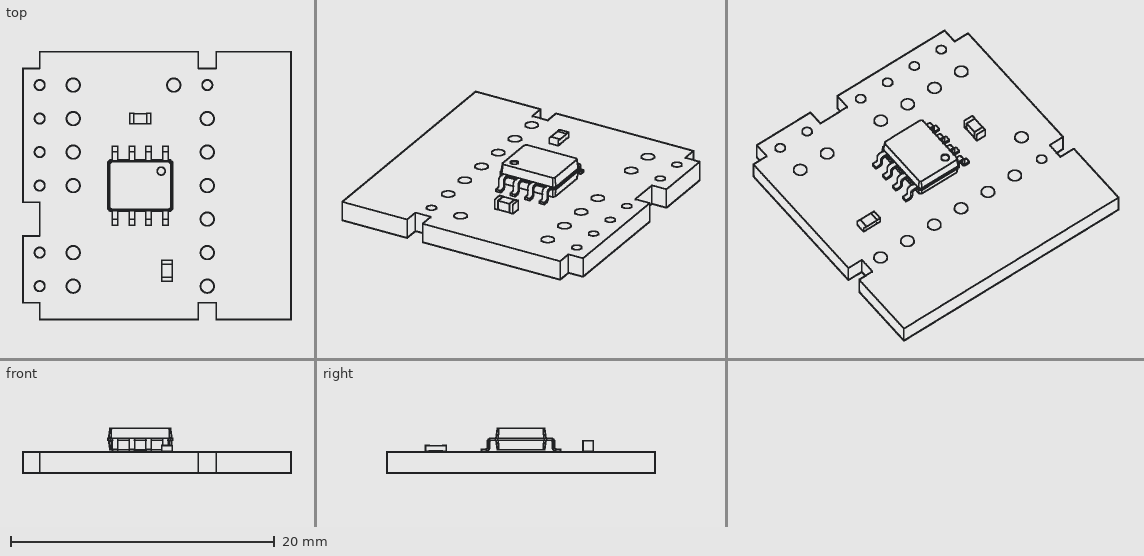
import cadquery as cq

PITCH = 2.54
HALF_PITCH = PITCH / 2
BOARD_SIDE = 8 * PITCH
BOARD_HALF = BOARD_SIDE / 2
BOARD_THICK = 1.6
EDGE_NOTCH_WIDTH = 1.35
SMALL_HOLE_DIA = 0.76
LARGE_HOLE_DIA = 1.0

LEFT_EDGE_COLUMN = -BOARD_HALF + HALF_PITCH
LEFT_INNER_COLUMN = LEFT_EDGE_COLUMN + PITCH
MIDDLE_COLUMN = HALF_PITCH
RIGHT_COLUMN = MIDDLE_COLUMN + PITCH
TOP_ROW = 3 * PITCH
SKIPPED_ROW = -PITCH
ROW_COUNT = 7
ROWS = [TOP_ROW - i * PITCH for i in range(ROW_COUNT)]
LEFT_ROWS = [y for y in ROWS if y != SKIPPED_ROW]

MOUNT_GAP = 0.05
MOUNT_HEIGHT = BOARD_THICK + MOUNT_GAP
PACKAGE_X = -HALF_PITCH
PACKAGE_Y = 0.0
PACKAGE_LENGTH = 4.9
PACKAGE_WIDTH = 3.9
PACKAGE_HEIGHT = 1.75
STANDOFF = 0.1
BAND_LEDGE = 0.05
WALL_DRAFT = 8.0
CORNER_CHAMFER = 0.18
DOT_DIA = 0.6
DOT_DEPTH = 0.1
DOT_OFFSET_X = 1.59
DOT_OFFSET_Y = 1.1

LEAD_COUNT = 4
LEAD_PITCH = 1.27
LEAD_WIDTH = 0.42
LEAD_THICK = 0.17
LEAD_SPAN = 6.0
LEG_SPAN = 5.1
LEAD_TOP = 1.0
LEAD_EMBED = 0.4
BEND_INNER = 0.12
BEND_OUTER = BEND_INNER + LEAD_THICK

CHIP_LENGTH = 1.6
CHIP_WIDTH = 0.8
TERMINAL_LENGTH = 0.3
CORE_INSET = 0.02
TERMINAL_ROUNDING = 0.03

CAPACITOR_X = -HALF_PITCH
CAPACITOR_Y = 2 * PITCH
CAPACITOR_HEIGHT = 0.8

RESISTOR_X = 0.76
RESISTOR_Y = -6.45
RESISTOR_HEIGHT = 0.45


def board_block(length, width, x, y):
    """Block as thick as the board, centred on x and y."""
    block = cq.Workplane("XY").box(length, width, BOARD_THICK, centered=(True, True, False))
    return block.translate((x, y, 0))


def make_board():
    """Square board with edge cut-outs and two sizes of through holes."""
    board = board_block(BOARD_SIDE, BOARD_SIDE, 0, 0)

    for edge_y in (-BOARD_HALF, BOARD_HALF):
        board = board.cut(board_block(PITCH, PITCH, -BOARD_HALF, edge_y))
        board = board.cut(board_block(EDGE_NOTCH_WIDTH, PITCH, RIGHT_COLUMN, edge_y))

    board = board.cut(board_block(PITCH, PITCH, -BOARD_HALF, SKIPPED_ROW))

    small_holes = [(LEFT_EDGE_COLUMN, y) for y in LEFT_ROWS]
    small_holes.append((RIGHT_COLUMN, TOP_ROW))
    large_holes = [(LEFT_INNER_COLUMN, y) for y in LEFT_ROWS]
    large_holes.append((MIDDLE_COLUMN, TOP_ROW))
    large_holes += [(RIGHT_COLUMN, y) for y in ROWS[1:]]

    for places, diameter in ((small_holes, SMALL_HOLE_DIA), (large_holes, LARGE_HOLE_DIA)):
        drills = cq.Workplane("XY").pushPoints(places).circle(diameter / 2).extrude(BOARD_THICK)
        board = board.cut(drills)
    return board


def molding_slab(base, end, inset, draft):
    """Corner-chamfered slab from height base up to height end, inset all round and drafted inward."""
    outline = (
        cq.Sketch()
        .rect(PACKAGE_LENGTH - 2 * inset, PACKAGE_WIDTH - 2 * inset)
        .vertices()
        .chamfer(CORNER_CHAMFER)
    )
    return cq.Workplane("XY", origin=(0, 0, base)).placeSketch(outline).extrude(end - base, taper=draft)


def make_lead():
    """One lead on the +Y side, centred on X = 0, with its foot on Z = 0."""
    tip = LEAD_SPAN / 2
    leg_outer = LEG_SPAN / 2
    leg_inner = leg_outer - LEAD_THICK
    root = PACKAGE_WIDTH / 2 - LEAD_EMBED
    shoulder = LEAD_TOP - LEAD_THICK
    profile = (
        cq.Workplane("YZ", origin=(-LEAD_WIDTH / 2, 0, 0))
        .moveTo(root, LEAD_TOP)
        .lineTo(leg_outer - BEND_OUTER, LEAD_TOP)
        .radiusArc((leg_outer, LEAD_TOP - BEND_OUTER), BEND_OUTER)
        .lineTo(leg_outer, LEAD_THICK + BEND_INNER)
        .radiusArc((leg_outer + BEND_INNER, LEAD_THICK), -BEND_INNER)
        .lineTo(tip, LEAD_THICK)
        .lineTo(tip, 0)
        .lineTo(leg_inner + BEND_OUTER, 0)
        .radiusArc((leg_inner, BEND_OUTER), BEND_OUTER)
        .lineTo(leg_inner, shoulder - BEND_INNER)
        .radiusArc((leg_inner - BEND_INNER, shoulder), -BEND_INNER)
        .lineTo(root, shoulder)
        .close()
    )
    return profile.extrude(LEAD_WIDTH)


def make_package():
    """Molding and its leads as one solid, placed above the board."""
    band_base = LEAD_TOP - LEAD_THICK
    package = molding_slab(band_base, LEAD_TOP, 0, 0)
    package = package.union(molding_slab(LEAD_TOP, PACKAGE_HEIGHT, BAND_LEDGE, WALL_DRAFT))
    lower = molding_slab(-band_base, -STANDOFF, BAND_LEDGE, WALL_DRAFT).mirror("XY")
    package = package.union(lower)

    dot = (
        cq.Workplane("XY", origin=(DOT_OFFSET_X, DOT_OFFSET_Y, PACKAGE_HEIGHT - DOT_DEPTH))
        .circle(DOT_DIA / 2)
        .extrude(DOT_DEPTH)
    )
    package = package.cut(dot)

    lead = make_lead()
    for i in range(LEAD_COUNT):
        x = (i - (LEAD_COUNT - 1) / 2) * LEAD_PITCH
        back_lead = lead.translate((x, 0, 0))
        package = package.union(back_lead).union(back_lead.mirror("XZ"))
    return package.translate((PACKAGE_X, PACKAGE_Y, MOUNT_HEIGHT))


def make_chip(height, core_width, rounded_edges):
    """Chip along X standing on Z = 0: a thinner core between two rounded end terminals."""
    middle = cq.Workplane("XY", origin=(0, 0, height / 2))
    core_height = height - 2 * CORE_INSET
    chip = middle.box(CHIP_LENGTH - TERMINAL_LENGTH, core_width, core_height)
    terminal = (
        middle.box(TERMINAL_LENGTH, CHIP_WIDTH, height)
        .edges(rounded_edges)
        .fillet(TERMINAL_ROUNDING)
    )
    terminal_offset = (CHIP_LENGTH - TERMINAL_LENGTH) / 2
    for x in (-terminal_offset, terminal_offset):
        chip = chip.union(terminal.translate((x, 0, 0)))
    return chip


board = make_board()
package = make_package()
capacitor = (
    make_chip(CAPACITOR_HEIGHT, CHIP_WIDTH - 2 * CORE_INSET, "|X")
    .translate((CAPACITOR_X, CAPACITOR_Y, MOUNT_HEIGHT))
)
resistor = (
    make_chip(RESISTOR_HEIGHT, CHIP_WIDTH, "|Y")
    .rotate((0, 0, 0), (0, 0, 1), 90)
    .translate((RESISTOR_X, RESISTOR_Y, MOUNT_HEIGHT))
)

result = cq.Compound.makeCompound([board.val(), package.val(), capacitor.val(), resistor.val()])